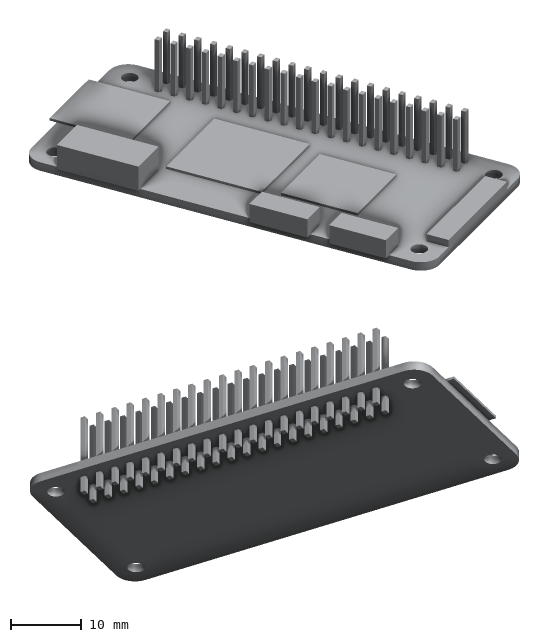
import cadquery as cq

BOARD_LENGTH = 65.0
BOARD_WIDTH = 30.0
BOARD_THICKNESS = 1.4
BOARD_CORNER_RADIUS = 3.0
RIGHT_EDGE = BOARD_LENGTH / 2
LEFT_EDGE = -RIGHT_EDGE
FRONT_EDGE = -BOARD_WIDTH / 2

MOUNT_HOLE_DIAMETER = 2.5
MOUNT_HOLE_INSET = 3.5

PIN_COLUMNS = 20
PIN_ROWS = 2
PIN_PITCH = 2.5
PIN_WIDTH = 0.7
PIN_DEPTH = 0.9
PIN_HOLE_DIAMETER = 1.0
PIN_LENGTH = 12.46
PIN_DROP = 2.5
HEADER_CENTRE_X = -0.05
HEADER_CENTRE_Y = BOARD_WIDTH / 2 - MOUNT_HOLE_INSET

CARD_LENGTH = 13.0
CARD_WIDTH = 12.0
CARD_OVERHANG = 1.13
CARD_CENTRE_Y = 1.8

FLAT_HEIGHT = 0.4
PROCESSOR_LENGTH = 15.2
PROCESSOR_WIDTH = 14.8
PROCESSOR_CENTRE = (-5.3, -1.0)
RADIO_LENGTH = 12.2
RADIO_WIDTH = 12.0
RADIO_CENTRE = (10.95, -1.4)

VIDEO_LENGTH = 13.0
VIDEO_DEPTH = 6.2
VIDEO_HEIGHT = 4.0
VIDEO_OVERHANG = 0.6
VIDEO_CENTRE_X = -20.1

USB_DEPTH = 3.8
USB_HEIGHT = 3.0
USB_OVERHANG = 1.0
DATA_USB_LENGTH = 9.2
DATA_USB_CENTRE_X = 8.9
POWER_USB_LENGTH = 9.0
POWER_USB_CENTRE_X = 21.5

CAMERA_LENGTH = 3.5
CAMERA_WIDTH = 18.0
CAMERA_HEIGHT = 1.2
CAMERA_CENTRE_Y = -0.2


def make_board():
    """Rounded plate with its mounting holes and header holes."""
    plate = cq.Workplane("XY").box(
        BOARD_LENGTH, BOARD_WIDTH, BOARD_THICKNESS, centered=(True, True, False)
    )
    plate = plate.edges("|Z").fillet(BOARD_CORNER_RADIUS)
    mount_holes = (
        cq.Workplane("XY")
        .rarray(BOARD_LENGTH - 2 * MOUNT_HOLE_INSET, BOARD_WIDTH - 2 * MOUNT_HOLE_INSET, 2, 2)
        .circle(MOUNT_HOLE_DIAMETER / 2)
        .extrude(BOARD_THICKNESS)
    )
    header_holes = header_grid(0).circle(PIN_HOLE_DIAMETER / 2).extrude(BOARD_THICKNESS)
    return plate.cut(mount_holes).cut(header_holes)


def header_grid(height):
    """Workplane at the given height with one point per header pin."""
    plane = cq.Workplane("XY", origin=(HEADER_CENTRE_X, HEADER_CENTRE_Y, height))
    return plane.rarray(PIN_PITCH, PIN_PITCH, PIN_COLUMNS, PIN_ROWS)


def make_pins():
    """Rectangular header pins running through the board."""
    return header_grid(-PIN_DROP).rect(PIN_WIDTH, PIN_DEPTH).extrude(PIN_LENGTH)


def block_on_board(centre, length, width, height):
    """Rectangular component resting on the top face of the board."""
    plane = cq.Workplane("XY", origin=(centre[0], centre[1], BOARD_THICKNESS))
    return plane.rect(length, width).extrude(height)


def front_socket(centre_x, length, depth, height, overhang):
    """Socket block reaching past the front edge by the overhang."""
    centre = (centre_x, FRONT_EDGE - overhang + depth / 2)
    return block_on_board(centre, length, depth, height)


def make_components():
    """All surface-mounted blocks."""
    card_centre = (LEFT_EDGE - CARD_OVERHANG + CARD_LENGTH / 2, CARD_CENTRE_Y)
    camera_centre = (RIGHT_EDGE - CAMERA_LENGTH / 2, CAMERA_CENTRE_Y)
    return [
        block_on_board(card_centre, CARD_LENGTH, CARD_WIDTH, FLAT_HEIGHT),
        block_on_board(PROCESSOR_CENTRE, PROCESSOR_LENGTH, PROCESSOR_WIDTH, FLAT_HEIGHT),
        block_on_board(RADIO_CENTRE, RADIO_LENGTH, RADIO_WIDTH, FLAT_HEIGHT),
        block_on_board(camera_centre, CAMERA_LENGTH, CAMERA_WIDTH, CAMERA_HEIGHT),
        front_socket(VIDEO_CENTRE_X, VIDEO_LENGTH, VIDEO_DEPTH, VIDEO_HEIGHT, VIDEO_OVERHANG),
        front_socket(DATA_USB_CENTRE_X, DATA_USB_LENGTH, USB_DEPTH, USB_HEIGHT, USB_OVERHANG),
        front_socket(POWER_USB_CENTRE_X, POWER_USB_LENGTH, USB_DEPTH, USB_HEIGHT, USB_OVERHANG),
    ]


result = make_board().union(make_pins())
for component in make_components():
    result = result.union(component)